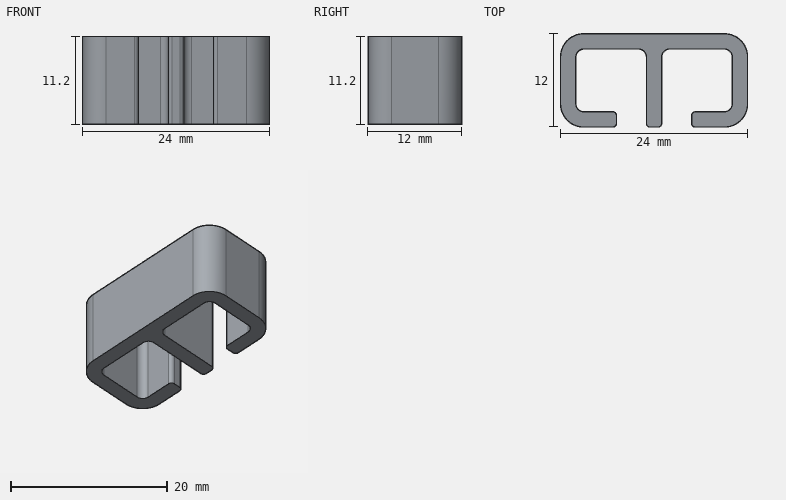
import cadquery as cq

width = 24.0
depth = 12.0
height = 11.25

wall = 2.0
mouth_width = 9.6
outer_radius = 3.0
inner_radius = 1.0
tip_radius = 0.5

channel_width = (width - 3 * wall) / 2
channel_depth = depth - 2 * wall
channel_offset = (wall + channel_width) / 2
mouth_side_width = (mouth_width - wall) / 2
mouth_offset = (wall + mouth_side_width) / 2


def block(size_x, size_y):
    """Full-height block centred on the Z axis."""
    return cq.Workplane("XY").box(size_x, size_y, height)


def vertical_edges(body, x_limit, y_min, y_max):
    """Select vertical edges within a central box of the profile."""
    return body.edges("|Z").edges(
        cq.selectors.BoxSelector((-x_limit, y_min, -height), (x_limit, y_max, height))
    )


result = block(width, depth).edges("|Z").fillet(outer_radius)

front_wall_y = (wall - depth) / 2
for side in (-1, 1):
    channel = block(channel_width, channel_depth).edges("|Z").fillet(inner_radius)
    result = result.cut(channel.translate((side * channel_offset, 0, 0)))

    opening_depth = wall + inner_radius
    opening = block(mouth_side_width, opening_depth)
    opening_y = front_wall_y + inner_radius / 2
    result = result.cut(opening.translate((side * mouth_offset, opening_y, 0)))

result = vertical_edges(
    result, mouth_width / 2 + tip_radius, -depth, -channel_depth / 2 + tip_radius / 2
).fillet(tip_radius)